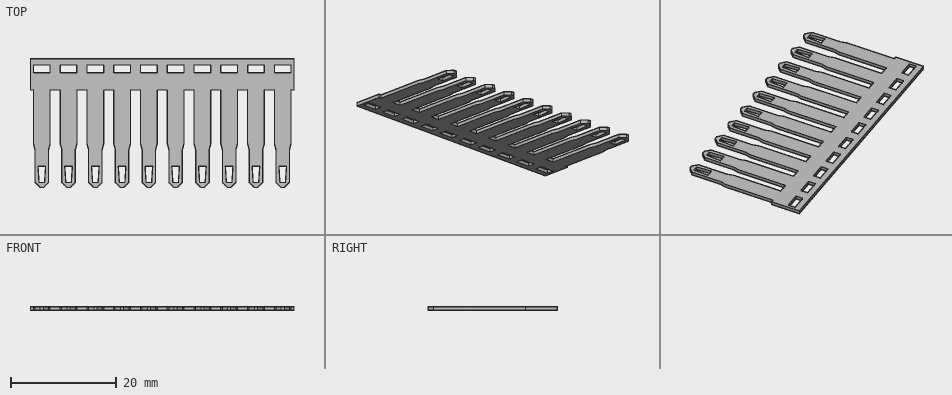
import cadquery as cq

length = 50.2
depth = 24.6
thickness = 0.7
rail_depth = 6.0

tooth_count = 10
end_margin = 2.15
pitch = (length - 2 * end_margin) / (tooth_count - 1)
shank_width = 3.2
blade_width = 2.6
tip_width = 0.6
tip_height = (blade_width - tip_width) / 2
taper_start = 10.25
taper_length = 1.1

slot_width = 3.1
slot_depth = 1.45
slot_edge = 1.25

window_depth = 3.05
window_top_width = 1.4
window_bottom_width = 1.0

back_y = depth / 2
rail_front_y = back_y - rail_depth
tip_y = -depth / 2
shoulder_y = tip_y + tip_height

tooth_centres = [(i - (tooth_count - 1) / 2) * pitch for i in range(tooth_count)]


def symmetric_plate(centre_x, half_outline):
    """Plate whose right edge is given as (width, y) pairs and mirrored about centre_x."""
    right = [(centre_x + width / 2, y) for width, y in half_outline]
    left = [(centre_x - width / 2, y) for width, y in reversed(half_outline)]
    return cq.Workplane("XY").polyline(right + left).close().extrude(thickness)


def tooth(centre_x):
    taper_y = rail_front_y - taper_start
    return symmetric_plate(centre_x, [
        (shank_width, back_y - rail_depth / 2),
        (shank_width, taper_y),
        (blade_width, taper_y - taper_length),
        (blade_width, shoulder_y),
        (tip_width, tip_y),
    ])


def window(centre_x):
    return symmetric_plate(centre_x, [
        (window_top_width, shoulder_y + window_depth),
        (window_bottom_width, shoulder_y),
    ])


def rail_slot(centre_x):
    slot_back_y = back_y - slot_edge
    return symmetric_plate(centre_x, [
        (slot_width, slot_back_y),
        (slot_width, slot_back_y - slot_depth),
    ])


comb = symmetric_plate(0, [(length, back_y), (length, rail_front_y)])
for x in tooth_centres:
    comb = comb.union(tooth(x))
for x in tooth_centres:
    comb = comb.cut(window(x)).cut(rail_slot(x))

result = comb.translate((0, 0, -thickness / 2))